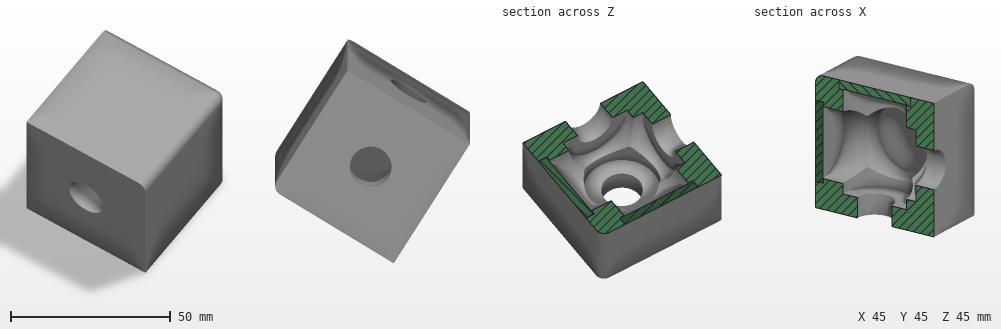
import cadquery as cq

side = 45.0
edge_radius = 3.0
wall = 7.0
port_diameter = 13.0
bore_diameter = 24.0
cap_diameter = 27.0
cap_thickness = 3.0

middle = side / 2
cap_seat = side - cap_thickness

axes = [
    (cq.Vector(1, 0, 0), cq.Vector(0, middle, middle)),
    (cq.Vector(0, 1, 0), cq.Vector(middle, 0, middle)),
    (cq.Vector(0, 0, 1), cq.Vector(middle, middle, 0)),
]


def axial_cylinder(axis, diameter, start, end):
    """Cylinder on one axis, between two distances from the low face."""
    direction, low_face_center = axis
    base = low_face_center + direction * start
    return cq.Workplane(cq.Solid.makeCylinder(diameter / 2, end - start, base, direction))


def make_block():
    """Cube with the three edges meeting at the +X +Y +Z corner rounded."""
    block = cq.Workplane().box(side, side, side, centered=False)
    corner_edges = block.edges("(>X and >Y) or (>X and >Z) or (>Y and >Z)")
    return corner_edges.fillet(edge_radius)


def make_housing():
    """Block with a port, a wide bore and a cap seat along every axis."""
    housing = make_block()
    for axis in axes:
        port = axial_cylinder(axis, port_diameter, 0, wall)
        bore = axial_cylinder(axis, bore_diameter, wall, cap_seat)
        seat = axial_cylinder(axis, cap_diameter, cap_seat, side)
        housing = housing.cut(port).cut(bore).cut(seat)
    return housing.solids()


def make_cap(axis):
    """Round cap that sits flush in the seat at the high end of an axis."""
    return axial_cylinder(axis, cap_diameter, cap_seat, side)


housing = make_housing()
caps = [make_cap(axis) for axis in axes]

result = cq.Compound.makeCompound([housing.val(), *[cap.val() for cap in caps]])